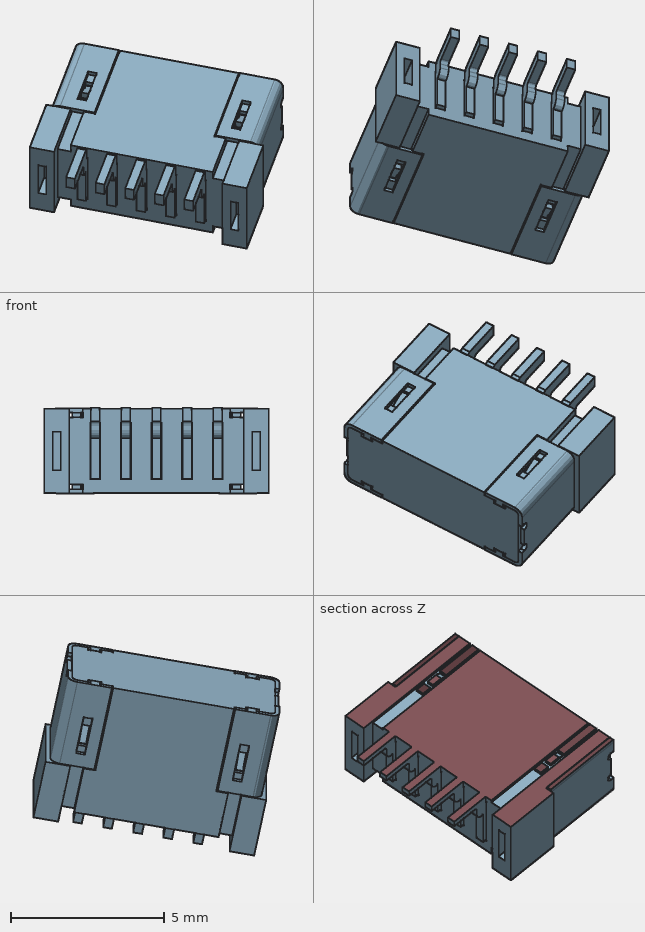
import cadquery as cq
import math


housing_height = 2.76
housing_depth = 4.7
mid_height = housing_height / 2
block_half_width = 3.67
block_width = 0.82
block_overhang = 0.44
block_back = 1.63
block_inner = block_half_width - block_width
block_slot_width = 0.265
block_slot_height = 1.26
block_slot_depth = 0.735
block_slot_inset = 0.285
block_slot_x = block_half_width - block_slot_inset - block_slot_width / 2

clip_gap = 0.04
clip_thickness = 0.15
clip_rise = 0.015
clip_outer = 3.515
clip_radius = 0.3
clip_inner_edge = 2.05
clip_front = block_back + clip_gap
clip_height = housing_height + 2 * clip_rise

core_half_width = clip_outer - clip_thickness
core_height = clip_height - 2 * clip_thickness
core_radius = clip_radius - clip_thickness
flap_recess = clip_thickness - clip_rise
recess_edge = clip_inner_edge - clip_gap

pad_width = 0.29
pad_x = 2.605
channel_width = 0.45
channel_depth = 0.285
channel_floor = housing_height - channel_depth
flap_slot_inset = 1.225
flap_slot_length = 1.335
flap_slot_back = housing_depth - flap_slot_inset
flap_slot_front = flap_slot_back - flap_slot_length
rear_pad_length = 1.57
front_pad_length = 0.37
pad_spacing = 0.755
rear_pad_front = housing_depth - rear_pad_length
front_pad_back = rear_pad_front - pad_spacing
front_pad_front = front_pad_back - front_pad_length

wedge_width = 0.24
wedge_length = 0.595
wedge_clearance = 0.02
wedge_back = rear_pad_front - wedge_clearance
wedge_front = wedge_back - wedge_length
wedge_height = 0.25

notch_height = 1.27
notch_depth = 0.13
relief_depth = 0.15
relief_radius = 0.13

pin_count = 5
pin_pitch = 1.0
pin_width = 0.29
pin_tip = 1.52
pin_rise = 0.04
pin_top = housing_height + pin_rise
pin_tip_height = 0.45
pin_slope_drop = 0.07
leg_front = 0.125
leg_bottom = 0.48
bulge_start = 0.76
bulge_radius = 0.24
bulge_centre = 0.18
bend_fillet = 0.11
pocket_clearance = 0.02
pocket_end_clearance = 0.03
pocket_depth = 0.15
pocket_inset = 0.46
pocket_bottom = leg_bottom - pocket_end_clearance
pocket_top = housing_height - pocket_inset

HALF_ARC = math.sqrt(0.5)


def box(x_min, x_max, y_min, y_max, z_min, z_max):
    size = (x_max - x_min, y_max - y_min, z_max - z_min)
    return cq.Workplane("XY").box(*size, centered=False).translate((x_min, y_min, z_min))


def flipped(shape):
    """Copy turned upside down about the housing's middle height."""
    return shape.mirror("XY", (0, 0, mid_height))


def other_side(shape):
    """Copy mirrored to the other end of the connector."""
    return shape.mirror("YZ")


def centred_box(x_mid, width, y_min, y_max, z_min, z_max):
    return box(x_mid - width / 2, x_mid + width / 2, y_min, y_max, z_min, z_max)


def rounded_bar(half_width, height, radius, y_min, y_max):
    bar = centred_box(0, 2 * half_width, y_min, y_max, mid_height - height / 2, mid_height + height / 2)
    return bar.edges("|Y").fillet(radius)


def clip_channel():
    """Open channel for the pads (top, +X end)."""
    return box(block_inner - channel_width, block_inner, 0, housing_depth, channel_floor, housing_height)


def latch_wedge():
    """Ramp on the channel floor, rising to a steep face at the front (top, +X end)."""
    return (
        cq.Workplane("YZ")
        .polyline([
            (wedge_front, channel_floor),
            (wedge_front, channel_floor + wedge_height),
            (wedge_back, channel_floor),
        ])
        .close()
        .extrude(wedge_width / 2, both=True)
        .translate((pad_x, 0, 0))
    )


def pin_pocket(x):
    return centred_box(x, pin_width + 2 * pocket_clearance, 0, pocket_depth, pocket_bottom, pocket_top)


def pin(x):
    """Bent pin: a leg against the housing, a rounded bend and a horizontal tip."""
    tip_bottom = pin_top - pin_tip_height
    face = -bulge_centre - bulge_radius
    fillet_end = face - bend_fillet
    fillet_bottom = tip_bottom - bend_fillet
    bulge_top = pin_top - bulge_start
    bulge_end = bulge_top - math.sqrt(bulge_radius**2 - (bulge_centre - leg_front)**2)
    root_slope = pin_slope_drop / leg_front
    profile = (
        cq.Workplane("YZ")
        .moveTo(pocket_depth, leg_bottom)
        .lineTo(-leg_front, leg_bottom)
        .lineTo(-leg_front, bulge_end)
        .threePointArc((-bulge_centre - bulge_radius * HALF_ARC, bulge_top - bulge_radius * HALF_ARC),
                       (face, bulge_top))
        .lineTo(face, fillet_bottom)
        .threePointArc((fillet_end + bend_fillet * HALF_ARC, fillet_bottom + bend_fillet * HALF_ARC),
                       (fillet_end, tip_bottom))
        .lineTo(-pin_tip, tip_bottom)
        .lineTo(-pin_tip, pin_top)
        .lineTo(-leg_front, pin_top)
        .lineTo(pocket_depth, pin_top - root_slope * (leg_front + pocket_depth))
        .close()
    )
    return profile.extrude(pin_width / 2, both=True).translate((x, 0, 0))


def make_housing():
    """Housing with its five fixed pins, as one solid."""
    front = box(-block_inner, block_inner, 0, block_back, 0, housing_height)
    middle = box(-recess_edge, recess_edge, block_back, housing_depth, 0, housing_height)
    core = rounded_bar(core_half_width, core_height, core_radius, block_back, housing_depth)
    block = box(block_inner, block_half_width, -block_overhang, block_back, 0, housing_height)
    block_slot = centred_box(block_slot_x, block_slot_width,
                             -block_overhang, block_slot_depth - block_overhang,
                             mid_height - block_slot_height / 2, mid_height + block_slot_height / 2)
    block = block.cut(block_slot)
    body = front.union(middle).union(core).union(block).union(other_side(block))

    right_channels = clip_channel().union(flipped(clip_channel()))
    right_wedges = latch_wedge().union(flipped(latch_wedge()))
    for channels, wedges in (
        (right_channels, right_wedges),
        (other_side(right_channels), other_side(right_wedges)),
    ):
        body = body.cut(channels).union(wedges)

    for index in range(pin_count):
        x = (index - (pin_count - 1) / 2) * pin_pitch
        body = body.cut(pin_pocket(x)).union(pin(x))
    return body


def flap_pads():
    """Pads under the top flap, in front of the latch wedge and behind it."""
    top_z = housing_height - flap_recess
    bottom_z = top_z - clip_thickness
    front_pad = centred_box(pad_x, pad_width, front_pad_front, front_pad_back, bottom_z, top_z)
    rear_pad = centred_box(pad_x, pad_width, rear_pad_front, housing_depth, bottom_z, top_z)
    return front_pad.union(rear_pad)


def side_notch():
    """Notch in the clip's rear edge with a round relief at each end."""
    notch = box(core_half_width, clip_outer, housing_depth - notch_depth, housing_depth,
                mid_height - notch_height / 2, mid_height + notch_height / 2)
    relief_offset = notch_height / 2 - relief_radius
    reliefs = (
        cq.Workplane("YZ", origin=(core_half_width, housing_depth - relief_depth, mid_height))
        .pushPoints([(0, -relief_offset), (0, relief_offset)])
        .circle(relief_radius)
        .extrude(clip_thickness)
    )
    return notch.union(reliefs)


def make_clip():
    """C-shaped clip of the +X end."""
    outside = rounded_bar(clip_outer, clip_height, clip_radius, clip_front, housing_depth)
    inside = rounded_bar(core_half_width, core_height, core_radius, clip_front, housing_depth)
    end = box(clip_inner_edge, clip_outer, clip_front, housing_depth, -clip_rise, housing_height + clip_rise)
    flap_slot = centred_box(pad_x, pad_width, flap_slot_front, flap_slot_back,
                            housing_height - flap_recess, housing_height + clip_rise)
    pads = flap_pads()
    clip = outside.cut(inside).intersect(end).cut(side_notch())
    clip = clip.cut(flap_slot).cut(flipped(flap_slot))
    return clip.union(pads).union(flipped(pads))


housing = make_housing()
right_clip = make_clip()
left_clip = other_side(right_clip)

result = cq.Compound.makeCompound([
    housing.solids().val(),
    right_clip.solids().val(),
    left_clip.solids().val(),
])